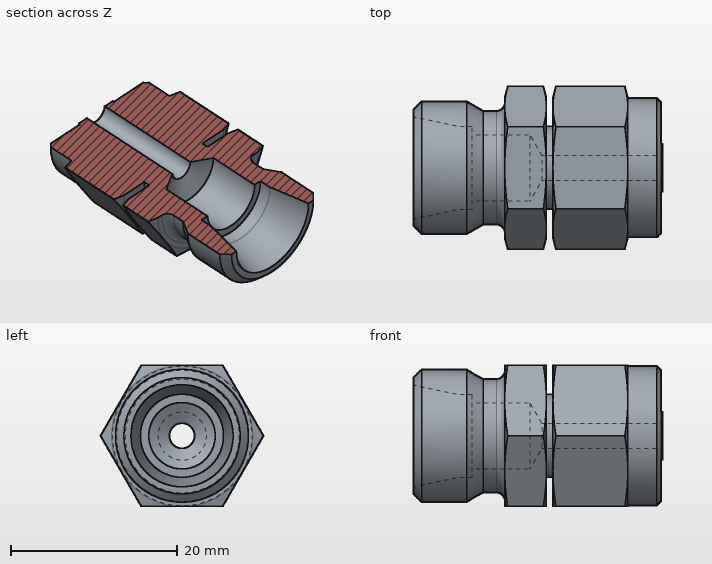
import cadquery as cq
import math


thread_dia = 16.0
thread_chamfer = 1.0
thread_end_x = 6.4
neck_dia = 13.7
neck_taper_angle = 30.0
neck_fillet = 1.0

hex_across_flats = 17.0
hex_chamfer_angle = 15.0
body_hex_start_x = 11.0
body_hex_length = 5.0
groove_dia = 10.0
groove_width = 0.8
nut_hex_length = 9.0

collar_dia = 16.8
collar_end_x = 29.8
collar_chamfer = 0.5
tip_dia = 5.8
total_length = 30.0

mouth_dia = 12.3
seat_half_angle = 12.0
tube_dia = 10.0
tube_depth = 7.0
funnel_dia = 8.0
funnel_half_angle = 60.0
funnel_depth = 14.0
through_dia = 3.0

neck_taper_length = (thread_dia - neck_dia) / 2 / math.tan(math.radians(neck_taper_angle))
neck_start_x = thread_end_x + neck_taper_length
body_hex_end_x = body_hex_start_x + body_hex_length
nut_hex_start_x = body_hex_end_x + groove_width
nut_hex_end_x = nut_hex_start_x + nut_hex_length
hex_across_corners = hex_across_flats / math.cos(math.radians(30))
hex_chamfer_radial = (hex_across_corners - hex_across_flats) / 2
hex_chamfer_axial = hex_chamfer_radial * math.tan(math.radians(hex_chamfer_angle))
seat_length = (mouth_dia - tube_dia) / 2 / math.tan(math.radians(seat_half_angle))
funnel_length = (funnel_dia - through_dia) / 2 / math.tan(math.radians(funnel_half_angle))


def revolve_about_x(profile):
    """Close a profile of (X, radius) points and turn it about the X axis."""
    return profile.close().revolve(360, (0, 0, 0), (1, 0, 0))


def threaded_end():
    """Chamfered cylinder, tapering to a neck that is filleted into the body hexagon."""
    thread_radius = thread_dia / 2
    neck_radius = neck_dia / 2
    fillet_start_x = body_hex_start_x - neck_fillet
    arc_offset = neck_fillet * math.sin(math.radians(45))
    arc_middle = (fillet_start_x + arc_offset, neck_radius + neck_fillet - arc_offset)
    profile = (
        cq.Workplane("XY")
        .lineTo(0, thread_radius - thread_chamfer)
        .lineTo(thread_chamfer, thread_radius)
        .lineTo(thread_end_x, thread_radius)
        .lineTo(neck_start_x, neck_radius)
        .lineTo(fillet_start_x, neck_radius)
        .threePointArc(arc_middle, (body_hex_start_x, neck_radius + neck_fillet))
        .lineTo(body_hex_start_x, 0)
    )
    return revolve_about_x(profile)


def chamfered_hexagon(start_x, length):
    """Hexagon with flats at top and bottom and its corners coned off at both ends."""
    prism = (
        cq.Workplane("YZ", origin=(start_x, 0, 0))
        .polygon(6, hex_across_corners)
        .extrude(length)
    )
    end_x = start_x + length
    face_radius = hex_across_flats / 2
    corner_radius = hex_across_corners / 2
    envelope = (
        cq.Workplane("XY")
        .moveTo(start_x, 0)
        .lineTo(start_x, face_radius)
        .lineTo(start_x + hex_chamfer_axial, corner_radius)
        .lineTo(end_x - hex_chamfer_axial, corner_radius)
        .lineTo(end_x, face_radius)
        .lineTo(end_x, 0)
    )
    return prism.intersect(revolve_about_x(envelope))


def cylinder(start_x, end_x, diameter):
    """Round bar on the X axis between two stations."""
    return (
        cq.Workplane("YZ", origin=(start_x, 0, 0))
        .circle(diameter / 2)
        .extrude(end_x - start_x)
    )


def collar():
    """Plain round end of the nut, chamfered at its outer edge."""
    return cylinder(nut_hex_end_x, collar_end_x, collar_dia).faces(">X").chamfer(collar_chamfer)


def bore():
    """Conical seat, tube socket and funnel, leading to the narrow through hole."""
    profile = (
        cq.Workplane("XY")
        .lineTo(0, mouth_dia / 2)
        .lineTo(seat_length, tube_dia / 2)
        .lineTo(tube_depth, tube_dia / 2)
        .lineTo(tube_depth, funnel_dia / 2)
        .lineTo(funnel_depth, funnel_dia / 2)
        .lineTo(funnel_depth + funnel_length, through_dia / 2)
        .lineTo(total_length, through_dia / 2)
        .lineTo(total_length, 0)
    )
    return revolve_about_x(profile)


result = (
    threaded_end()
    .union(chamfered_hexagon(body_hex_start_x, body_hex_length))
    .union(cylinder(body_hex_end_x, nut_hex_start_x, groove_dia))
    .union(chamfered_hexagon(nut_hex_start_x, nut_hex_length))
    .union(collar())
    .union(cylinder(collar_end_x, total_length, tip_dia))
    .cut(bore())
)